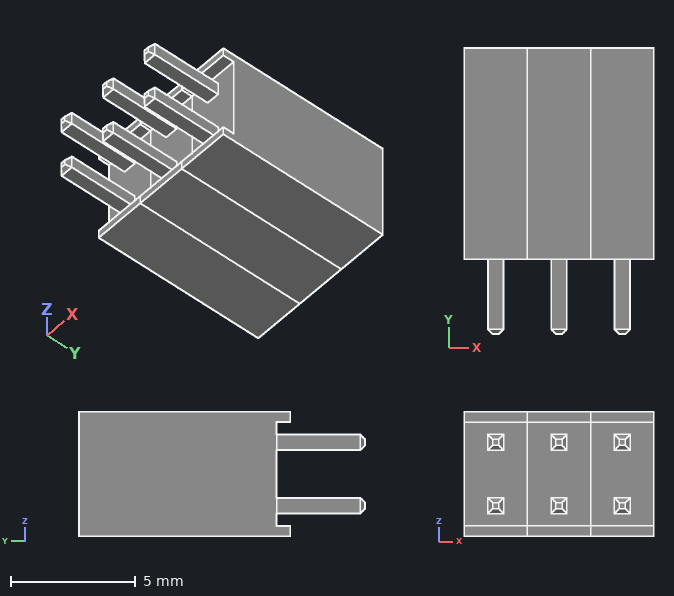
import cadquery as cq

segment_count = 3
pitch = 2.54
total_length = 11.5
housing_length = 8.5
housing_height = 5.0

recess_depth = 0.55
lip_thickness = 0.41

pin_width = 0.63
tip_length = 0.2
tip_width = pin_width - 2 * tip_length

recess_floor_y = recess_depth
pin_tip_y = housing_length - total_length
tip_base_y = pin_tip_y + tip_length


def make_housing():
    """One segment of the housing, centred on X = 0 and Z = 0."""
    block = cq.Workplane("XY").box(
        pitch, housing_length, housing_height, centered=(True, False, True)
    )
    recess = cq.Workplane("XY").box(
        pitch, recess_depth, housing_height - 2 * lip_thickness, centered=(True, False, True)
    )
    return block.cut(recess)


def make_pin(center_z):
    """One pin, from the recess floor to its tip."""
    shank = (
        cq.Workplane("XZ", origin=(0, recess_floor_y, center_z))
        .rect(pin_width, pin_width)
        .extrude(recess_floor_y - tip_base_y)
    )
    tip = (
        cq.Workplane("XZ", origin=(0, tip_base_y, center_z))
        .rect(pin_width, pin_width)
        .workplane(offset=tip_length)
        .rect(tip_width, tip_width)
        .loft(ruled=True)
    )
    return shank.union(tip)


def make_segment(center_x):
    """One connector segment: a housing slice with its two pins as one solid."""
    segment = make_housing()
    for row_side in (-1, 1):
        segment = segment.union(make_pin(row_side * pitch / 2))
    return segment.translate((center_x, 0, 0))


segments = []
for index in range(segment_count):
    segment_x = (index - (segment_count - 1) / 2) * pitch
    segments.append(make_segment(segment_x))

result = cq.Compound.makeCompound([segment.val() for segment in segments])